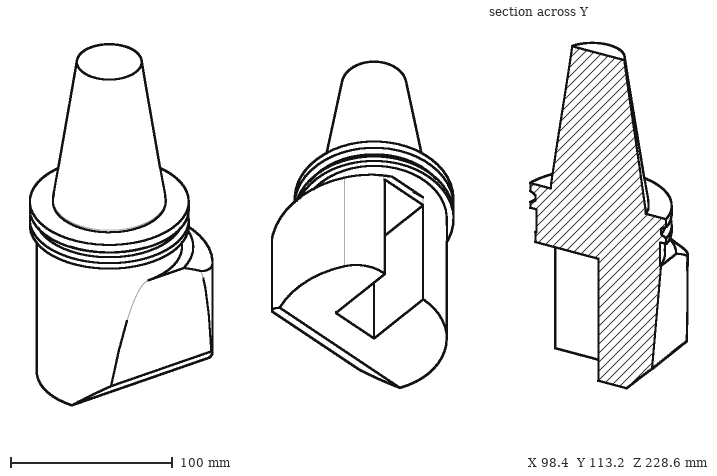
import cadquery as cq
import math

taper_length = 101.6
overall_length = 228.6
bottom_z = taper_length - overall_length
flange_top_z = -1.5
flange_bottom_z = -19.05
groove_mid_z = -11.1

taper_ratio = 7 / 24
gauge_radius = 69.85 / 2
taper_tip_radius = gauge_radius - taper_length * taper_ratio / 2
flange_radius = 98.42 / 2
groove_radius = 91.29 / 2
groove_floor_width = 3.7
groove_wall_angle = 30

body_radius = 90 / 2
head_height = 92
head_top_z = bottom_z + head_height
head_reach = 113.19 - flange_radius
head_corner_radius = 25
head_chamfer = 12

pocket_width = 32
pocket_cover = 7

relief_angle = 5
relief_start_z = head_top_z
bottom_cut = 18.4


def make_shank():
    """Taper, grooved flange and body, revolved about the tool axis."""
    wall_height = (flange_radius - groove_radius) * math.tan(math.radians(groove_wall_angle))
    floor_half = groove_floor_width / 2
    mouth_half = floor_half + wall_height
    profile = [
        (0, bottom_z),
        (body_radius, bottom_z),
        (body_radius, flange_bottom_z),
        (flange_radius, flange_bottom_z),
        (flange_radius, groove_mid_z - mouth_half),
        (groove_radius, groove_mid_z - floor_half),
        (groove_radius, groove_mid_z + floor_half),
        (flange_radius, groove_mid_z + mouth_half),
        (flange_radius, flange_top_z),
        (gauge_radius, flange_top_z),
        (gauge_radius, 0),
        (taper_tip_radius, taper_length),
        (0, taper_length),
    ]
    return cq.Workplane("XZ").polyline(profile).close().revolve(360, (0, 0), (0, 1))


def make_head():
    """Head as wide as the body, with a round nose, blended corners and a conical top edge."""
    corner_x = body_radius - head_corner_radius
    corner_distance = head_reach - head_corner_radius
    corner_y = math.sqrt(corner_distance**2 - corner_x**2)

    tangent_angle = math.atan2(corner_y, corner_x)
    tangent_x = head_reach * math.cos(tangent_angle)
    tangent_y = head_reach * math.sin(tangent_angle)
    middle_x = corner_x + head_corner_radius * math.cos(tangent_angle / 2)
    middle_y = corner_y + head_corner_radius * math.sin(tangent_angle / 2)

    block = (
        cq.Workplane("XY", origin=(0, 0, bottom_z))
        .moveTo(-body_radius, 0)
        .lineTo(body_radius, 0)
        .lineTo(body_radius, corner_y)
        .threePointArc((middle_x, middle_y), (tangent_x, tangent_y))
        .threePointArc((0, head_reach), (-tangent_x, tangent_y))
        .threePointArc((-middle_x, middle_y), (-body_radius, corner_y))
        .close()
        .extrude(head_height)
    )
    envelope = (
        cq.Workplane("XY", origin=(0, 0, bottom_z))
        .circle(head_reach)
        .extrude(head_height)
        .faces(">Z")
        .chamfer(head_chamfer)
    )
    return block.intersect(envelope)


def make_pocket():
    """Block removed for the insert pocket."""
    return cq.Workplane("XY", origin=(0, 0, bottom_z)).box(
        body_radius, pocket_width, head_height - pocket_cover, centered=False
    ).translate((-body_radius, 0, 0))


def make_relief():
    """Prism along Y that trims the +X side."""
    cut_top_z = bottom_z + bottom_cut
    cut_top_x = body_radius - (relief_start_z - cut_top_z) * math.tan(math.radians(relief_angle))
    outside_x = 2 * body_radius
    outline = [
        (body_radius, relief_start_z),
        (cut_top_x, cut_top_z),
        (cut_top_x - bottom_cut, bottom_z),
        (outside_x, bottom_z),
        (outside_x, relief_start_z),
    ]
    return cq.Workplane("XZ").polyline(outline).close().extrude(2 * head_reach, both=True)


result = make_shank().union(make_head()).cut(make_pocket()).cut(make_relief())